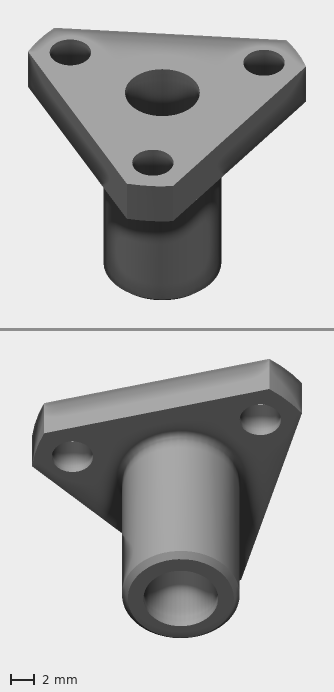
import cadquery as cq
import math

flange_width = 23.72
corner_radius = 12.71
flange_thickness = 3.82
side_count = 3
side_step = 360.0 / side_count

total_height = 19.0
barrel_radius = 5.0
bore_diameter = 6.35
edge_size = 0.5

mount_diameter = 3.5
mount_circle_radius = 9.54

widest_angle = math.acos(flange_width / 2 / corner_radius)
side_half_angle = math.radians(side_step / 4) + widest_angle
side_distance = corner_radius * math.cos(side_half_angle)
triangle_circumdiameter = 2 * side_distance / math.cos(math.pi / side_count)
barrel_length = total_height - flange_thickness


def make_flange():
    """Triangular plate with one corner toward +Y, resting on Z = 0."""
    triangle = (
        cq.Workplane("XY")
        .transformed(rotate=(0, 0, 90))
        .polygon(side_count, triangle_circumdiameter)
        .extrude(flange_thickness)
    )
    disc = cq.Workplane("XY").circle(corner_radius).extrude(flange_thickness)
    return triangle.intersect(disc)


def make_barrel():
    """Barrel profile revolved about Z, flared into the flange at the top."""
    arc_center_x = barrel_radius + edge_size
    arc_offset = edge_size * math.sqrt(0.5)
    return (
        cq.Workplane("XZ")
        .moveTo(0, 0)
        .lineTo(arc_center_x, 0)
        .threePointArc(
            (arc_center_x - arc_offset, -edge_size + arc_offset),
            (barrel_radius, -edge_size),
        )
        .lineTo(barrel_radius, edge_size - barrel_length)
        .lineTo(barrel_radius - edge_size, -barrel_length)
        .lineTo(0, -barrel_length)
        .close()
        .revolve(360, (0, 0, 0), (0, 1, 0))
    )


def make_bore():
    return (
        cq.Workplane("XY", origin=(0, 0, -barrel_length))
        .circle(bore_diameter / 2)
        .extrude(total_height)
    )


def make_mount_holes():
    return (
        cq.Workplane("XY")
        .polarArray(mount_circle_radius, 90, 360, side_count)
        .circle(mount_diameter / 2)
        .extrude(flange_thickness)
    )


result = make_flange().union(make_barrel()).cut(make_bore()).cut(make_mount_holes())